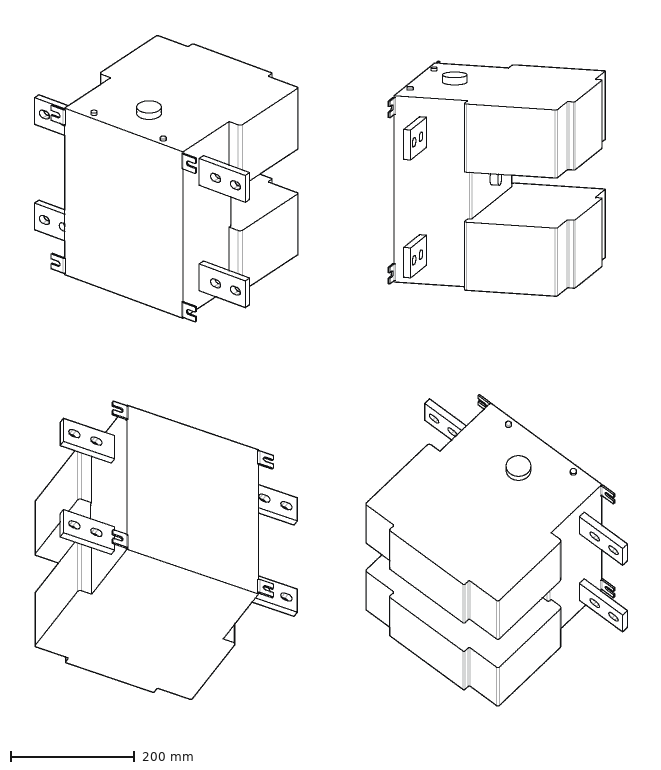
import cadquery as cq
import math

case_height = 309.5
base_width = 239.5
base_depth = 130.8
base_rear_radius = 3.0
mid_z = case_height / 2

hood_width = 286.3
hood_front_y = 124.5
hood_shoulder_y = 281.0
hood_rear_y = 293.5
hood_gap = 83.0
hood_height = (case_height - hood_gap) / 2
rear_panel_width = 161.5
hood_front_radius = 5.0
hood_shoulder_radius = 3.5
rear_panel_radius = 2.0

bar_span = 426.0
bar_height = 50.0
bar_thickness = 12.0
bar_y = 49.5
bar_offset_z = 98.0
bar_slot_length = 20.0
bar_slot_height = 14.0
bar_slot_pitch = 40.0
bar_slot_end_distance = 20.0

foot_span = 292.2
foot_height = 27.5
foot_end_inset = 3.0
foot_thickness = 3.0
foot_proud = 1.5
foot_bend_radius = 1.5
foot_slot_height = 9.0
foot_slot_depth = 18.5
foot_corner_radius = 1.3

knob_diameter = 40.0
knob_height = 12.0
knob_y = 68.0
button_diameter = 10.2
button_height = 4.3
button_x = 70.0
button_y = 13.0
button_edge_radius = 1.3
plunger_diameter = 23.0
plunger_length = 13.0


def make_base():
    base = cq.Workplane("XY").box(base_width, base_depth, case_height, centered=(True, False, False))
    return base.edges("|Z and >Y").fillet(base_rear_radius)


def make_hood(bottom_z):
    """One hood: a wide block with a narrower raised panel along its rear."""
    body = (
        cq.Workplane("XY", origin=(0, hood_front_y, bottom_z))
        .box(hood_width, hood_shoulder_y - hood_front_y, hood_height, centered=(True, False, False))
        .edges("|Z and <Y").fillet(hood_front_radius)
        .edges("|Z and >Y").fillet(hood_shoulder_radius)
    )
    panel = (
        cq.Workplane("XY", origin=(0, hood_front_y, bottom_z))
        .box(rear_panel_width, hood_rear_y - hood_front_y, hood_height, centered=(True, False, False))
        .edges("|Z and >Y").fillet(rear_panel_radius)
    )
    hood = body.union(panel)
    hood_mid_z = bottom_z + hood_height / 2
    for side in (-1, 1):
        corner = cq.NearestToPointSelector((side * rear_panel_width / 2, hood_shoulder_y, hood_mid_z))
        hood = hood.edges("|Z").edges(corner).fillet(rear_panel_radius)
    return hood


def make_bars(center_z):
    """A bar through the base, with two slots in each projecting end."""
    outer_slot_x = bar_span / 2 - bar_slot_end_distance
    inner_slot_x = outer_slot_x - bar_slot_pitch
    slot_points = [(x, 0) for x in (-outer_slot_x, -inner_slot_x, inner_slot_x, outer_slot_x)]
    plane = cq.Workplane("XZ", origin=(0, bar_y, center_z))
    bar = plane.box(bar_span, bar_height, bar_thickness)
    slots = (
        plane.pushPoints(slot_points)
        .slot2D(bar_slot_length, bar_slot_height)
        .extrude(bar_thickness, both=True)
    )
    return bar.cut(slots)


def make_foot(bottom_z):
    """The right-hand foot: a bend out of the base side, then a flat tab with an open slot."""
    outer_radius = foot_bend_radius + foot_thickness
    side_x = base_width / 2
    bend_x = side_x + foot_bend_radius
    bend_y = outer_radius - foot_proud
    tab_rear_y = foot_thickness - foot_proud
    end_x = foot_span / 2
    diagonal = math.cos(math.radians(45))
    tab = (
        cq.Workplane("XY", origin=(0, 0, bottom_z))
        .moveTo(side_x - foot_thickness, bend_y)
        .threePointArc(
            (bend_x - outer_radius * diagonal, bend_y - outer_radius * diagonal),
            (bend_x, -foot_proud),
        )
        .lineTo(end_x, -foot_proud)
        .lineTo(end_x, tab_rear_y)
        .lineTo(bend_x, tab_rear_y)
        .threePointArc(
            (bend_x - foot_bend_radius * diagonal, bend_y - foot_bend_radius * diagonal),
            (side_x, bend_y),
        )
        .close()
        .extrude(foot_height)
    )
    slot = (
        cq.Workplane("XZ", origin=(end_x, 0, bottom_z + foot_height / 2))
        .slot2D(2 * foot_slot_depth, foot_slot_height)
        .extrude(2 * foot_thickness, both=True)
    )
    tab = tab.cut(slot)
    return tab.faces(">X").edges("|Y").fillet(foot_corner_radius)


def make_button(x):
    top = cq.Workplane("XY", origin=(x, button_y, case_height))
    return top.circle(button_diameter / 2).extrude(button_height)


result = make_base()

for hood_z in (0, case_height - hood_height):
    result = result.union(make_hood(hood_z))

for side in (-1, 1):
    result = result.union(make_bars(mid_z + side * bar_offset_z))

for foot_z in (foot_end_inset, case_height - foot_end_inset - foot_height):
    foot = make_foot(foot_z)
    result = result.union(foot).union(foot.mirror("YZ"))

knob = cq.Workplane("XY", origin=(0, knob_y, case_height)).circle(knob_diameter / 2).extrude(knob_height)
plunger = (
    cq.Workplane("XZ", origin=(0, base_depth, mid_z))
    .circle(plunger_diameter / 2)
    .extrude(-plunger_length)
)
plain_button = make_button(-button_x)
rounded_button = make_button(button_x).faces(">Z").edges().fillet(button_edge_radius)
for round_part in (knob, plunger, plain_button, rounded_button):
    result = result.union(round_part)